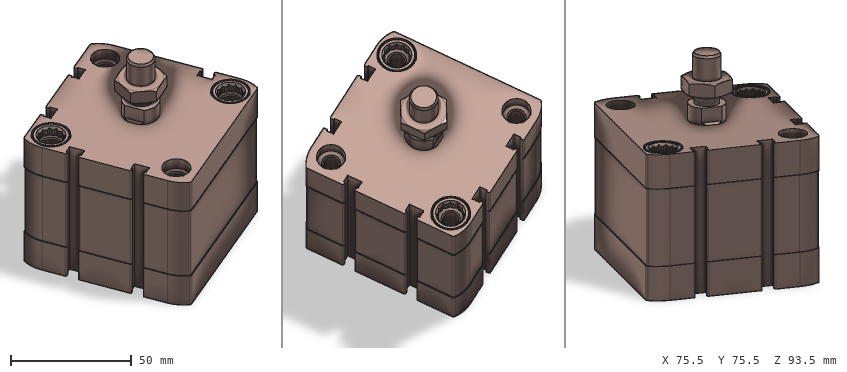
import cadquery as cq
import math

WIDTH = 75.5
BODY_HEIGHT = 64.0
CAP_HEIGHT = 15.1
BARREL_RECESS = 0.4
CORNER_ARC_RADIUS = 16.7
CORNER_FILLET = 1.2
HOLE_OFFSET = 28.2
HALF_WIDTH = WIDTH / 2

SLOT_OFFSET = 14.6
SLOT_MOUTH = 5.3
SLOT_WIDTH = 6.7
SLOT_DEPTH = 5.05
SLOT_LIP = 1.7
MOUTH_RADIUS = 0.6
CUT_MARGIN = 0.9

BORE_DIAMETER = 6.6
BORE_CHAMFER_DIAMETER = 7.95
COUNTERBORE_DIAMETER = 12.0
COUNTERBORE_DEPTH = 5.0

COLLAR_SEAT_DIAMETER = 16.4
COLLAR_DIAMETER = 15.5
COLLAR_TOP_DIAMETER = 14.8
COLLAR_RECESS = 0.1
COLLAR_GROOVE_DEPTH = 1.4
SOCKET_ACROSS_FLATS = 10.0
SOCKET_MINOR_DIAMETER = 10.7
SOCKET_CONE_DIAMETER = 12.4
SOCKET_CONE_DEPTH = 1.4
SOCKET_DEPTH = 4.4

OVERALL_HEIGHT = 93.5
ROD_DIAMETER = 16.0
ROD_SHOULDER = 7.4
ROD_FLATS = 13.4
FLAT_START = 0.9
NECK_DIAMETER = 10.5
NECK_EDGE_DIAMETER = 10.7
NECK_START = 8.0
NECK_END = 8.7
NECK_EDGE = 9.2
THREAD_DIAMETER = 12.0
THREAD_START = 11.3
TIP_DIAMETER = 10.7
TIP_CHAMFER = 1.1

NUT_ACROSS_FLATS = 19.0
NUT_HEIGHT = 6.1
NUT_START = 12.4
NUT_CHAMFER_HEIGHT = 0.5


def hexagon_diameter(across_flats):
    """Corner-to-corner size of a hexagon."""
    return across_flats / math.cos(math.pi / 6)


def revolved(profile):
    """Solid of revolution about Z from (radius, height) points."""
    return cq.Workplane("XZ").polyline(profile).close().revolve(360, (0, 0), (0, 1))


def block(half_width, base, height):
    """Square prism whose -Y and +Y sides bow in towards the corners."""
    arc_span = half_width - HOLE_OFFSET

    def drop(distance):
        return CORNER_ARC_RADIUS - math.sqrt(CORNER_ARC_RADIUS**2 - distance**2)

    corner_y = half_width - drop(arc_span)
    middle_x = HOLE_OFFSET + arc_span / 2
    middle_y = half_width - drop(arc_span / 2)
    return (
        cq.Workplane("XY", origin=(0, 0, base))
        .moveTo(-HOLE_OFFSET, half_width)
        .lineTo(HOLE_OFFSET, half_width)
        .threePointArc((middle_x, middle_y), (half_width, corner_y))
        .lineTo(half_width, -corner_y)
        .threePointArc((middle_x, -middle_y), (HOLE_OFFSET, -half_width))
        .lineTo(-HOLE_OFFSET, -half_width)
        .threePointArc((-middle_x, -middle_y), (-half_width, -corner_y))
        .lineTo(-half_width, corner_y)
        .threePointArc((-middle_x, middle_y), (-HOLE_OFFSET, half_width))
        .close()
        .extrude(height)
        .edges(">X and |Z or <X and |Z")
        .fillet(CORNER_FILLET)
    )


def slot_cutter(face, base, height):
    """T-slot open towards +Y at y = face, with rounded mouth edges."""
    floor = HALF_WIDTH - SLOT_DEPTH
    lip = HALF_WIDTH - SLOT_LIP
    outside = HALF_WIDTH + CUT_MARGIN
    mouth = SLOT_MOUTH / 2
    flare = mouth + MOUTH_RADIUS
    return (
        cq.Workplane("XY", origin=(0, 0, base))
        .moveTo(-SLOT_WIDTH / 2, floor)
        .lineTo(SLOT_WIDTH / 2, floor)
        .lineTo(SLOT_WIDTH / 2, lip)
        .lineTo(mouth, lip)
        .lineTo(mouth, face - MOUTH_RADIUS)
        .radiusArc((flare, face), MOUTH_RADIUS)
        .lineTo(flare, outside)
        .lineTo(-flare, outside)
        .lineTo(-flare, face)
        .radiusArc((-mouth, face - MOUTH_RADIUS), MOUTH_RADIUS)
        .lineTo(-mouth, lip)
        .lineTo(-SLOT_WIDTH / 2, lip)
        .close()
        .extrude(height)
    )


def slotted_block(half_width, base, height):
    """One level of the housing, with two slots on each side but +X."""
    level = block(half_width, base, height)
    cutter = slot_cutter(half_width, base, height)
    for angle in (0, 90, 180):
        for offset in (-SLOT_OFFSET, SLOT_OFFSET):
            slot = cutter.translate((offset, 0, 0)).rotate((0, 0, 0), (0, 0, 1), angle)
            level = level.cut(slot)
    return level


def bore_cutter(floor):
    """Through hole with a 45 degree chamfer at the given floor height."""
    bore = BORE_DIAMETER / 2
    chamfer = BORE_CHAMFER_DIAMETER / 2
    return revolved([
        (0, -CUT_MARGIN),
        (bore, -CUT_MARGIN),
        (bore, floor - (chamfer - bore)),
        (chamfer, floor),
        (0, floor),
    ])


def counterbored_hole():
    """Cutter for a plain counterbored hole."""
    floor = BODY_HEIGHT - COUNTERBORE_DEPTH
    counterbore = (
        cq.Workplane("XY", origin=(0, 0, floor))
        .circle(COUNTERBORE_DIAMETER / 2)
        .extrude(COUNTERBORE_DEPTH)
    )
    return bore_cutter(floor).union(counterbore)


def collar_hole():
    """Cutter that leaves a recessed, chamfered collar with a twelve-point socket."""
    top = BODY_HEIGHT - COLLAR_RECESS
    seat = COLLAR_SEAT_DIAMETER / 2
    collar = COLLAR_DIAMETER / 2
    collar_top = COLLAR_TOP_DIAMETER / 2
    cone = SOCKET_CONE_DIAMETER / 2
    minor = SOCKET_MINOR_DIAMETER / 2
    floor = BODY_HEIGHT - SOCKET_DEPTH
    cone_end = top - SOCKET_CONE_DEPTH
    groove = revolved([
        (collar, BODY_HEIGHT - COLLAR_GROOVE_DEPTH),
        (seat, BODY_HEIGHT - COLLAR_GROOVE_DEPTH),
        (seat, BODY_HEIGHT),
        (0, BODY_HEIGHT),
        (0, top),
        (collar_top, top),
        (collar, top - (collar - collar_top)),
    ])
    socket = revolved([(0, floor), (minor, floor), (minor, cone_end), (cone, top), (0, top)])
    hexagon = (
        cq.Workplane("XY", origin=(0, 0, floor))
        .polygon(6, hexagon_diameter(SOCKET_ACROSS_FLATS))
        .extrude(top - floor)
    )
    for angle in (0, 30):
        socket = socket.union(hexagon.rotate((0, 0, 0), (0, 0, 1), angle))
    return groove.union(socket).union(bore_cutter(floor))


def make_housing():
    barrel_height = BODY_HEIGHT - 2 * CAP_HEIGHT
    housing = slotted_block(HALF_WIDTH, 0, CAP_HEIGHT)
    housing = housing.union(slotted_block(HALF_WIDTH - BARREL_RECESS, CAP_HEIGHT, barrel_height))
    housing = housing.union(slotted_block(HALF_WIDTH, BODY_HEIGHT - CAP_HEIGHT, CAP_HEIGHT))
    for side in (-1, 1):
        x = side * HOLE_OFFSET
        housing = housing.cut(collar_hole().translate((x, x, 0)))
        housing = housing.cut(counterbored_hole().translate((x, -x, 0)))
    return housing


def make_rod():
    length = OVERALL_HEIGHT - BODY_HEIGHT
    rod = revolved([
        (0, 0),
        (ROD_DIAMETER / 2, 0),
        (ROD_DIAMETER / 2, ROD_SHOULDER),
        (NECK_EDGE_DIAMETER / 2, ROD_SHOULDER),
        (NECK_DIAMETER / 2, NECK_START),
        (NECK_DIAMETER / 2, NECK_END),
        (NECK_EDGE_DIAMETER / 2, NECK_EDGE),
        (THREAD_DIAMETER / 2, THREAD_START),
        (THREAD_DIAMETER / 2, length - TIP_CHAMFER),
        (TIP_DIAMETER / 2, length),
        (0, length),
    ])
    flat = ROD_FLATS / 2
    flat_cutter = (
        cq.Workplane("YZ")
        .moveTo(flat, FLAT_START)
        .lineTo(flat, ROD_SHOULDER)
        .lineTo(flat + ROD_SHOULDER, ROD_SHOULDER)
        .lineTo(flat + ROD_SHOULDER, FLAT_START - ROD_SHOULDER)
        .close()
        .extrude(ROD_DIAMETER / 2, both=True)
    )
    rod = rod.cut(flat_cutter).cut(flat_cutter.mirror("XZ"))
    return rod.translate((0, 0, BODY_HEIGHT))


def make_nut():
    flat = NUT_ACROSS_FLATS / 2
    corner = hexagon_diameter(NUT_ACROSS_FLATS) / 2
    hexagon = cq.Workplane("XY").polygon(6, 2 * corner).extrude(NUT_HEIGHT)
    hexagon = hexagon.rotate((0, 0, 0), (0, 0, 1), 30)
    chamfered = revolved([
        (THREAD_DIAMETER / 2, 0),
        (flat, 0),
        (corner, NUT_CHAMFER_HEIGHT),
        (corner, NUT_HEIGHT - NUT_CHAMFER_HEIGHT),
        (flat, NUT_HEIGHT),
        (THREAD_DIAMETER / 2, NUT_HEIGHT),
    ])
    return hexagon.intersect(chamfered).translate((0, 0, BODY_HEIGHT + NUT_START))


housing = make_housing()
rod = make_rod()
nut = make_nut()
result = cq.Compound.makeCompound([housing.val(), rod.val(), nut.val()])